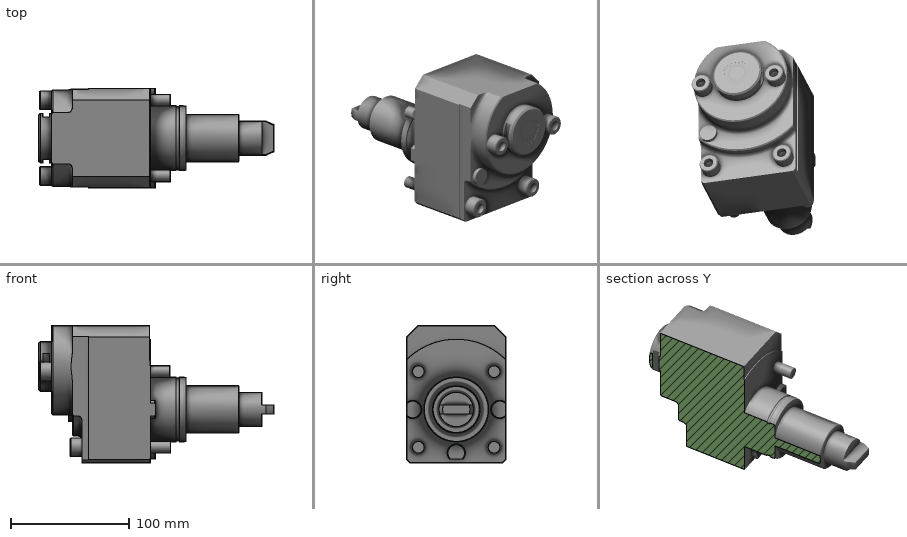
import cadquery as cq
import math


half_width = 42.02
top_z = 71.0
bottom_z = -45.0
top_chamfer = 9.7
bottom_chamfer = 3.0
side_relief = 0.5
relief_end_x = -52.5
foot_front_x = -57.8
pad_radius = 59.4
pad_height = 0.5

spindle_z = 36.4
step_front_x = -65.8
step_radius = 59.0
head_front_x = -83.5
head_radius = 41.0
edge_chamfer = 1.0
root_fillet = 3.0
nose_front_x = -94.4
nose_radius = 21.0
nose_chamfer = 1.4
flat_front_x = -90.8
flat_width = 5.5
flat_half_spacing = 18.0

recess_depth = 0.2
lobe_count = 3
lobe_radius = 12.3
lobe_half_angle = 14
valley_radius = 10.43
valley_half_angle = 19
shoulder_radius = 11.5
shoulder_half_angle = 32
core_radius = 7.7
core_tip_radius = 6.4

screw_offset = 32.0
screw_head_radius = 8.0
screw_head_height = 10.1
screw_edge_chamfer = 0.7
screw_radius = 5.0
socket_radius = 4.2
socket_depth = 5.0
socket_tip_depth = 2.4
upper_screw_end_x = 16.5
lower_screw_end_x = 17.0

plug_y = 32.0
plug_z = -3.0
plug_radius = 7.2
plug_front_x = -69.1

pin_offset = 36.8
pin_radius = 7.65
pin_height = 4.2
pin_chamfer = 0.5

collar_radius = 27.5
ring_start_x = 21.9
ring_end_x = 24.5
ring_edge_radius = 26.2
ring_crown_radius = 26.8
collar_taper_x = 27.6
collar_end_x = 30.2
collar_end_radius = 27.0
shank_radius = 20.0
shank_end_x = 74.9
shank_chamfer = 0.5
journal_radius = 14.5
journal_end_x = 94.2
tang_end_x = 104.3
tang_taper_x = 97.5
tang_end_radius = 11.5
tang_thickness = 8.0


def rod(x_start, x_end, radius, y=0.0, z=0.0):
    """Cylinder along X."""
    return cq.Workplane("YZ", origin=(x_start, y, z)).circle(radius).extrude(x_end - x_start)


def turned(half_profile, axis_z=0.0):
    """Solid of revolution about an X-parallel axis; the profile is drawn in (x, radius)."""
    solid = half_profile.close().revolve(360, (0, 0, 0), (1, 0, 0))
    return solid.translate((0, 0, axis_z))


def housing_prism(x_start, x_end, inset=0.0):
    """Chamfered housing section, with both sides moved in by the inset."""
    side = half_width - inset
    top_corner = half_width - top_chamfer
    bottom_corner = half_width - bottom_chamfer
    right_side = [
        (bottom_corner, bottom_z),
        (side, bottom_z + side - bottom_corner),
        (side, top_z - side + top_corner),
        (top_corner, top_z),
    ]
    left_side = [(-y, z) for y, z in reversed(right_side)]
    outline = cq.Workplane("YZ", origin=(x_start, 0, 0)).polyline(right_side + left_side)
    return outline.close().extrude(x_end - x_start)


def stepped_disc(front_x, back_x, radius):
    """Disc on the spindle axis with a chamfered front edge and a concave root fillet."""
    fillet_start_x = back_x - root_fillet
    arc_offset = root_fillet * math.sqrt(0.5)
    arc_middle = (fillet_start_x + arc_offset, radius + root_fillet - arc_offset)
    profile = (
        cq.Workplane("XY")
        .moveTo(front_x, 0)
        .lineTo(front_x, radius - edge_chamfer)
        .lineTo(front_x + edge_chamfer, radius)
        .lineTo(fillet_start_x, radius)
        .threePointArc(arc_middle, (back_x, radius + root_fillet))
        .lineTo(relief_end_x, radius + root_fillet)
        .lineTo(relief_end_x, 0)
    )
    return turned(profile, spindle_z)


def make_housing():
    body = housing_prism(relief_end_x, -pad_height)
    body = body.union(housing_prism(foot_front_x, relief_end_x, side_relief))
    pad = rod(-pad_height, 0, pad_radius).intersect(housing_prism(-pad_height, 0))
    discs = stepped_disc(step_front_x, foot_front_x, step_radius)
    discs = discs.union(stepped_disc(head_front_x, step_front_x, head_radius))
    discs = discs.intersect(housing_prism(head_front_x, relief_end_x, side_relief))
    return body.union(pad).union(discs)


def driver_outline():
    """Corner points of the three-lobed recess, around the spindle axis."""
    corners = [
        (-shoulder_half_angle, shoulder_radius),
        (-valley_half_angle, valley_radius),
        (-lobe_half_angle, lobe_radius),
        (lobe_half_angle, lobe_radius),
        (valley_half_angle, valley_radius),
        (shoulder_half_angle, shoulder_radius),
    ]
    points = []
    for lobe in range(lobe_count):
        lobe_angle = -90 + lobe * 360 / lobe_count
        for offset, radius in corners:
            angle = math.radians(lobe_angle + offset)
            points.append((radius * math.cos(angle), radius * math.sin(angle)))
    return points


def make_nose():
    nose = rod(nose_front_x, head_front_x, nose_radius, z=spindle_z)
    nose = nose.faces("<X").chamfer(nose_chamfer)
    for side in (-1, 1):
        slot = cq.Workplane("XY").box(
            flat_width, nose_radius, 2 * nose_radius, centered=(False, True, True)
        )
        slot_y = side * (flat_half_spacing + nose_radius / 2)
        nose = nose.cut(slot.translate((flat_front_x, slot_y, spindle_z)))
    recess = cq.Workplane("YZ", origin=(nose_front_x, 0, spindle_z))
    recess = recess.polyline(driver_outline()).close().extrude(recess_depth)
    core = turned(
        cq.Workplane("XY")
        .moveTo(nose_front_x, 0)
        .lineTo(nose_front_x, core_tip_radius)
        .lineTo(nose_front_x + recess_depth, core_radius)
        .lineTo(nose_front_x + recess_depth, 0),
        spindle_z,
    )
    return nose.cut(recess.cut(core))


def screw_head(seat_x, y, z):
    front_x = seat_x - screw_head_height
    head = rod(front_x, seat_x, screw_head_radius, y, z).faces("<X").chamfer(screw_edge_chamfer)
    socket = turned(
        cq.Workplane("XY")
        .moveTo(front_x, 0)
        .lineTo(front_x, socket_radius)
        .lineTo(front_x + socket_depth, socket_radius)
        .lineTo(front_x + socket_depth + socket_tip_depth, 0)
    )
    return head.cut(socket.translate((0, y, z)))


def make_screws():
    screws = cq.Workplane("XY")
    rows = [
        (screw_offset, head_front_x, upper_screw_end_x),
        (-screw_offset, foot_front_x, lower_screw_end_x),
    ]
    for z, seat_x, end_x in rows:
        for y in (-screw_offset, screw_offset):
            screws = screws.union(screw_head(seat_x, y, z))
            screws = screws.union(rod(-pad_height, end_x, screw_radius, y, z))
    return screws


def make_pins():
    pins = cq.Workplane("XY")
    for y, z in ((-pin_offset, 0), (pin_offset, 0), (0, -pin_offset)):
        pin = rod(-pad_height, pin_height, pin_radius, y, z)
        pins = pins.union(pin.faces(">X").chamfer(pin_chamfer))
    flush_limit = cq.Workplane("XY").box(4 * pin_height, 2 * half_width, 2 * half_width)
    return pins.intersect(flush_limit)


def make_shank():
    shank = turned(
        cq.Workplane("XY")
        .moveTo(-pad_height, 0)
        .lineTo(-pad_height, collar_radius)
        .lineTo(ring_start_x, collar_radius)
        .lineTo(ring_start_x, ring_edge_radius)
        .threePointArc(
            ((ring_start_x + ring_end_x) / 2, ring_crown_radius),
            (ring_end_x, ring_edge_radius),
        )
        .lineTo(ring_end_x, collar_radius)
        .lineTo(collar_taper_x, collar_radius)
        .lineTo(collar_end_x, collar_end_radius)
        .lineTo(collar_end_x, shank_radius)
        .lineTo(shank_end_x - shank_chamfer, shank_radius)
        .lineTo(shank_end_x, shank_radius - shank_chamfer)
        .lineTo(shank_end_x, journal_radius)
        .lineTo(journal_end_x, journal_radius)
        .lineTo(journal_end_x, 0)
    )
    tang = turned(
        cq.Workplane("XY")
        .moveTo(journal_end_x, 0)
        .lineTo(journal_end_x, journal_radius)
        .lineTo(tang_taper_x, journal_radius)
        .lineTo(tang_end_x, tang_end_radius)
        .lineTo(tang_end_x, 0)
    )
    blade = cq.Workplane("XY").box(2 * tang_end_x, 2 * journal_radius, tang_thickness)
    return shank.union(tang.intersect(blade))


plug = rod(plug_front_x, step_front_x, plug_radius, plug_y, plug_z)

result = (
    make_housing()
    .union(make_nose())
    .union(plug)
    .union(make_screws())
    .union(make_pins())
    .union(make_shank())
)